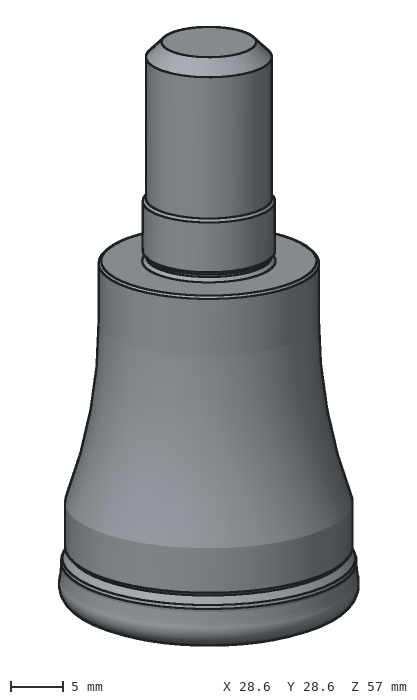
import cadquery as cq

total_height = 57.0
body_top = 35.0
flare_top = 29.0
flare_bottom = 10.75
body_bottom = 6.3
groove_root_height = 5.9

stud_radius = 6.0
stud_tip_chamfer = 1.5
collar_radius = 6.3
collar_top = 41.0
collar_bottom = 36.0
collar_chamfer = collar_radius - stud_radius
neck_radius = 5.95
neck_chamfer = collar_radius - neck_radius
neck_flare = 0.4

body_top_radius = 10.5
body_top_chamfer = 0.25
body_bottom_radius = 13.7

groove_root_radius = 13.35
shoulder_radius = 13.95
shoulder_height = 5.15
rim_bottom_radius = 14.08
rim_bottom = 4.8
band_top = 4.45
band_top_radius = 14.05
band_bottom = 3.45
band_bottom_radius = 14.15
bulge_top = 3.1
bulge_top_radius = 14.2
bulge_mid_radius = 14.285
bulge_mid_height = 2.5
bulge_bottom_radius = 13.05
bulge_bottom = 0.85
sole_edge_radius = 12.3
sole_edge_height = 0.5
sole_radius = 10.0

flare_height = flare_top - flare_bottom
flare_growth = body_bottom_radius - body_top_radius
flare_arc_radius = (flare_height**2 + flare_growth**2) / (2 * flare_growth)
flare_mid_height = flare_top - flare_height / 2
flare_mid_radius = (
    body_top_radius + flare_arc_radius
    - (flare_arc_radius**2 - (flare_height / 2) ** 2) ** 0.5
)


def revolve_profile(profile):
    """Revolve a closed (radius, height) profile about the Z axis."""
    return profile.close().revolve(360, (0, 0, 0), (0, 1, 0))


def make_body():
    """Flared body turned in one piece with its stud."""
    profile = (
        cq.Workplane("XZ")
        .moveTo(0, groove_root_height)
        .lineTo(groove_root_radius, groove_root_height)
        .lineTo(body_bottom_radius, body_bottom)
        .lineTo(body_bottom_radius, flare_bottom)
        .threePointArc((flare_mid_radius, flare_mid_height), (body_top_radius, flare_top))
        .lineTo(body_top_radius, body_top - body_top_chamfer)
        .lineTo(body_top_radius - body_top_chamfer, body_top)
        .lineTo(neck_radius + neck_flare, body_top)
        .lineTo(neck_radius, body_top + neck_flare)
        .lineTo(neck_radius, collar_bottom - neck_chamfer)
        .lineTo(collar_radius, collar_bottom)
        .lineTo(collar_radius, collar_top)
        .lineTo(stud_radius, collar_top + collar_chamfer)
        .lineTo(stud_radius, total_height - stud_tip_chamfer)
        .lineTo(stud_radius - stud_tip_chamfer, total_height)
        .lineTo(0, total_height)
    )
    return revolve_profile(profile)


def make_pad():
    """Round foot pad below the body."""
    profile = (
        cq.Workplane("XZ")
        .lineTo(sole_radius, 0)
        .lineTo(sole_edge_radius, sole_edge_height)
        .lineTo(bulge_bottom_radius, bulge_bottom)
        .threePointArc((bulge_mid_radius, bulge_mid_height), (bulge_top_radius, bulge_top))
        .lineTo(band_bottom_radius, band_bottom)
        .lineTo(band_top_radius, band_top)
        .lineTo(rim_bottom_radius, rim_bottom)
        .lineTo(shoulder_radius, shoulder_height)
        .lineTo(groove_root_radius, groove_root_height)
        .lineTo(0, groove_root_height)
    )
    return revolve_profile(profile)


body = make_body()
pad = make_pad()
result = cq.Compound.makeCompound([body.val(), pad.val()])